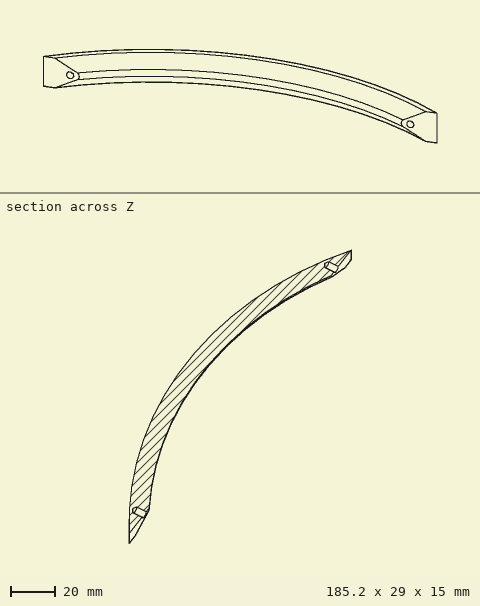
import cadquery as cq
import math

SPAN = 185.18
RISE = 29.0
HEIGHT = 15.0

RIM_DEPTH = 3.0
FLANK_DEPTH = 8.6
BAR_DEPTH = 9.0
TIP_WIDTH = 3.4

HOLE_SPACING = 160.0
HOLE_DIAMETER = 3.3
HOLE_DEPTH = 5.0
DRILL_POINT_ANGLE = 118.0

half_span = SPAN / 2
half_height = HEIGHT / 2
half_tip = TIP_WIDTH / 2
outer_radius = (half_span**2 + RISE**2) / (2 * RISE)
arc_center_y = RISE - outer_radius
rim_radius = outer_radius - RIM_DEPTH
flank_radius = outer_radius - FLANK_DEPTH
apex_radius = outer_radius - BAR_DEPTH

hole_radius = HOLE_DIAMETER / 2
drill_point_depth = hole_radius / math.tan(math.radians(DRILL_POINT_ANGLE / 2))


def make_ring():
    """Full ring: the bar section revolved about an axis parallel to Z."""
    section = (
        cq.Workplane("XZ")
        .moveTo(outer_radius, -half_height)
        .lineTo(outer_radius, half_height)
        .lineTo(rim_radius, half_height)
        .lineTo(flank_radius, half_tip)
        .threePointArc((apex_radius, 0), (flank_radius, -half_tip))
        .lineTo(rim_radius, -half_height)
        .close()
    )
    ring = section.revolve(360, (0, 0, 0), (0, 1, 0))
    return ring.translate((0, arc_center_y, 0))


def make_bar():
    """Part of the ring on the +Y side of the flat foot plane Y = 0."""
    keep = cq.Workplane("XY").box(SPAN, RISE, HEIGHT, centered=(True, False, True))
    return make_ring().intersect(keep)


def make_screw_hole(center_x):
    """Blind hole with a conical drill point, bored along +Y from a foot."""
    return (
        cq.Workplane("XY")
        .lineTo(hole_radius, 0)
        .lineTo(hole_radius, HOLE_DEPTH)
        .lineTo(0, HOLE_DEPTH + drill_point_depth)
        .close()
        .revolve(360, (0, 0, 0), (0, 1, 0))
        .translate((center_x, 0, 0))
    )


result = make_bar()
for side in (-1, 1):
    result = result.cut(make_screw_hole(side * HOLE_SPACING / 2))